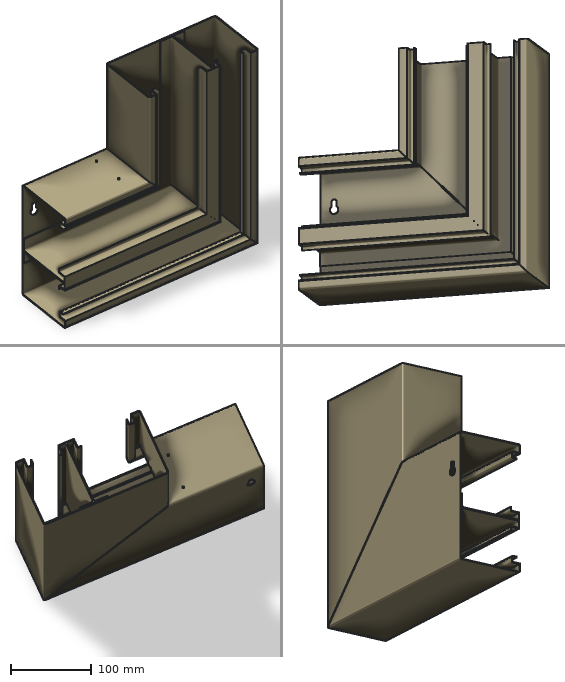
import cadquery as cq
LENGTH = 299.8
WIDTH = 170.0
DEPTH = 90.0

SHEET = 1.2
CORNER_RADIUS = 3.0
BEND_RADIUS = 2.5

HOOK_ARM_REACH = 12.3
HOOK_REACH = 20.5
HOOK_BACK = 77.0
HOOK_TONGUE_END = 85.2

DIVIDER_CENTRE = 69.0
DIVIDER_FLOOR = 2.25
DIVIDER_TOP = DEPTH - SHEET
WEB_THICKNESS = 1.8
FOOT_WIDTH = 37.8
CLIP_ARM_REACH = 10.8
CLIP_REACH = 15.5
CLIP_BACK = 75.5

KEYHOLE_Y = 17.7
KEYHOLE_Z = 121.7
KEYHOLE_RADIUS = 5.5
KEYHOLE_SLOT_WIDTH = 6.5
KEYHOLE_SLOT_RISE = 10.0

SCREW_HOLE_DIAMETER = 2.5
SCREW_HOLE_XS = (15.3, 61.5)
SCREW_HOLE_Y = 103.7

GROOVE_START = 119.5
GROOVE_END = 141.5
GROOVE_WIDTH = 1.5
GROOVE_DEPTH = 0.3


def strip(x_start, x_end, z_start, z_end):
    """A bar along the horizontal leg, with the given rectangle as its section."""
    return cq.Workplane("XY").box(
        x_end - x_start, LENGTH, z_end - z_start, centered=False
    ).translate((x_start, 0, z_start))


def mitred(bar):
    """The part of a bar along Y that lies on the horizontal leg's side of the mitre plane."""
    keep = (
        cq.Workplane("YZ")
        .polyline([(0, 0), (LENGTH, 0), (0, LENGTH)])
        .close()
        .extrude(DEPTH)
    )
    return bar.intersect(keep)


def mirrored_leg(leg):
    """The vertical twin of a horizontal leg, mirrored in the mitre plane."""
    return cq.Workplane(leg.val().mirror(cq.Vector(0, 1, 1), cq.Vector(0, LENGTH, 0)))


def inset_fillet(bar, selector, outer_radius):
    """Fillet the chosen edges as the inside of a bend with the given outside radius."""
    return bar.edges(selector).fillet(outer_radius - SHEET)


def wall_hook():
    """Arm, leg and tongue that hold a cover along the outer wall's open edge."""
    arm_start = HOOK_ARM_REACH - SHEET
    outer = strip(HOOK_BACK, DEPTH, arm_start, HOOK_REACH).edges("|Y and <X").fillet(BEND_RADIUS)
    pocket = strip(HOOK_BACK + SHEET, DEPTH, HOOK_ARM_REACH, HOOK_REACH - SHEET)
    pocket = inset_fillet(pocket, "|Y and <X", BEND_RADIUS)
    mouth = strip(HOOK_TONGUE_END, DEPTH, HOOK_ARM_REACH, HOOK_REACH)
    return outer.cut(pocket).cut(mouth)


def channel():
    """Back wall and two side walls with rounded corners and a hook on each side wall."""
    outer = strip(0, DEPTH, 0, WIDTH).edges("|Y").fillet(CORNER_RADIUS)
    inner = strip(SHEET, DEPTH - SHEET, SHEET, WIDTH - SHEET)
    inner = inset_fillet(inner, "|Y", CORNER_RADIUS)
    opening = strip(DEPTH - SHEET, DEPTH, HOOK_ARM_REACH, WIDTH - HOOK_ARM_REACH)
    hook = wall_hook()
    opposite_hook = hook.mirror("XY", (0, 0, WIDTH / 2))
    return outer.cut(inner).cut(opening).union(hook).union(opposite_hook)


def keyhole():
    """Round hole with a narrower slot rising from it."""
    round_part = (
        cq.Workplane("YZ").center(KEYHOLE_Y, KEYHOLE_Z).circle(KEYHOLE_RADIUS).extrude(SHEET)
    )
    slot_length = KEYHOLE_SLOT_RISE + KEYHOLE_SLOT_WIDTH
    slot = (
        cq.Workplane("YZ")
        .center(KEYHOLE_Y, KEYHOLE_Z + KEYHOLE_SLOT_RISE / 2)
        .slot2D(slot_length, KEYHOLE_SLOT_WIDTH, 90)
        .extrude(SHEET)
    )
    return round_part.union(slot)


def screw_holes():
    """Two small round holes through the inner wall."""
    return (
        cq.Workplane("XY", origin=(0, 0, WIDTH - SHEET))
        .pushPoints([(x, SCREW_HOLE_Y) for x in SCREW_HOLE_XS])
        .circle(SCREW_HOLE_DIAMETER / 2)
        .extrude(SHEET)
    )


def mitre_groove():
    """Narrow groove centred on the mitre line of the back face."""
    middle = (GROOVE_START + GROOVE_END) / 2
    length = (GROOVE_END - GROOVE_START) * 2 ** 0.5
    return (
        cq.Workplane("YZ")
        .center(LENGTH - middle, middle)
        .transformed(rotate=(0, 0, -45))
        .rect(length, GROOVE_WIDTH)
        .extrude(GROOVE_DEPTH)
    )


def divider_clip():
    """Arm and barb on the inner side of the divider, bent back from its top edge."""
    arm_end = DIVIDER_CENTRE + CLIP_ARM_REACH
    arm_start = arm_end - SHEET
    barb_end = DIVIDER_CENTRE + CLIP_REACH
    outer = strip(CLIP_BACK, DIVIDER_TOP, arm_start, barb_end)
    outer = outer.edges("|Y and <X and <Z").fillet(BEND_RADIUS)
    pocket = strip(CLIP_BACK + SHEET, DIVIDER_TOP, arm_end, barb_end)
    pocket = inset_fillet(pocket, "|Y and <X and <Z", BEND_RADIUS)
    return outer.cut(pocket)


def divider_leg():
    """Foot, web and double cover clip of the divider in the horizontal leg."""
    web_face = DIVIDER_CENTRE + WEB_THICKNESS / 2
    lip_start = DIVIDER_TOP - SHEET
    foot_start = DIVIDER_CENTRE - FOOT_WIDTH / 2
    body = strip(DIVIDER_FLOOR, DIVIDER_TOP, foot_start, foot_start + FOOT_WIDTH)
    side_space = strip(DIVIDER_FLOOR + SHEET, lip_start, web_face, LENGTH)
    side_space = side_space.edges("|Y and <Z").fillet(BEND_RADIUS)
    beyond_lip = strip(lip_start, DEPTH, DIVIDER_CENTRE + CLIP_ARM_REACH, LENGTH)
    one_side = side_space.union(beyond_lip)
    body = body.cut(one_side).cut(one_side.mirror("XY", (0, 0, DIVIDER_CENTRE)))
    clip = divider_clip()
    opposite_clip = clip.mirror("XY", (0, 0, DIVIDER_CENTRE))
    return mitred(body.union(clip).union(opposite_clip))


plain_leg = mitred(channel())
groove = mitre_groove()
horizontal_housing = plain_leg.cut(keyhole()).cut(screw_holes()).cut(groove)
vertical_housing = mirrored_leg(plain_leg).cut(groove)

horizontal_divider = divider_leg()
divider = horizontal_divider.union(mirrored_leg(horizontal_divider))

result = cq.Compound.makeCompound(
    [horizontal_housing.val(), vertical_housing.val(), divider.val()]
)